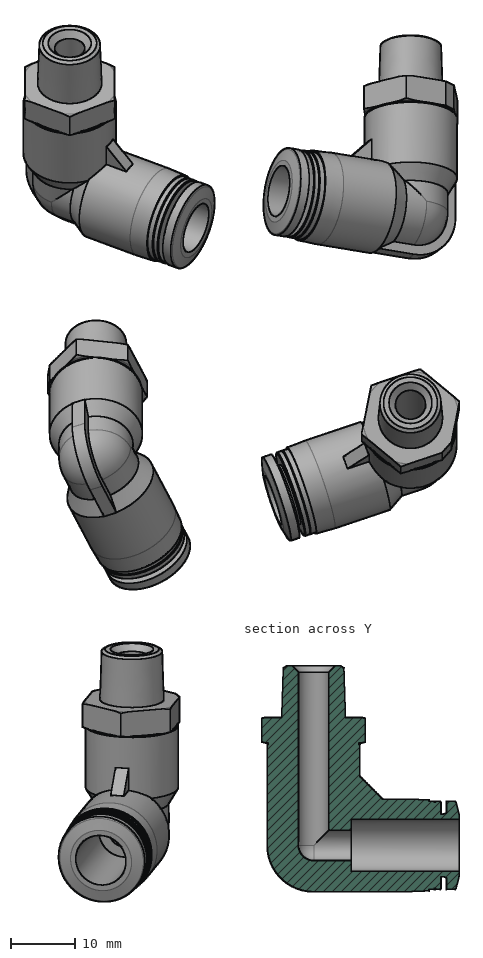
import cadquery as cq
import math


body_radius = 14.5 / 2
elbow_radius = 5.78
stem_cone_start = 3.2
stem_cone_end = 5.7
socket_cone_start = 3.42
socket_cone_end = 5.9

overall_height = 35.25
stem_top = overall_height - body_radius
body_top = 15.72
collar_radius = 7.1
nut_bottom = 15.95
nut_height = 4.02
nut_top = nut_bottom + nut_height
nut_flats = 14.0
nut_corners = nut_flats / math.cos(math.pi / 6)
nut_face_radius = 7.5
nut_bevel_angle = math.radians(15)
cut_corner_distance = 7.45
cut_corner_angle = 120
thread_base_radius = 5.0
thread_top_radius = 4.75
thread_bevel_height = 0.35
thread_bevel_width = 0.55

overall_length = 30.77
ring_end = overall_length - nut_corners / 2
taper_start = 14.98
taper_end = 17.98
taper_end_radius = 7.12
sleeve_radius = 13.8 / 2
sleeve_end = 19.85
sleeve_bevel = 0.15
groove_start = 18.82
groove_width = 0.15
groove_depth = 0.15
neck_radius = 9.8 / 2
neck_flare_start = 20.2
neck_flare_radius = 5.1
ring_start = 20.7
ring_bevel_start = 22.1
ring_shoulder = 22.25
ring_shoulder_radius = 6.65
ring_face_radius = 4.85

web_thickness = 2.08
gusset_reach = 10.75

bore_radius = 4.7 / 2
countersink_radius = 3.35
countersink_depth = countersink_radius - bore_radius
tube_radius = 8.0 / 2
tube_stop = socket_cone_end


def stem_solid(profile):
    """Revolve a list of (radius, height) points about the Z axis."""
    return cq.Workplane("XZ").polyline(profile).close().revolve(360, (0, 0), (0, 1))


def socket_solid(profile):
    """Revolve a list of (distance, radius) points about the X axis."""
    return cq.Workplane("XZ").polyline(profile).close().revolve(360, (0, 0), (1, 0))


def make_stem():
    return stem_solid([
        (0, 0),
        (elbow_radius, 0),
        (elbow_radius, stem_cone_start),
        (body_radius, stem_cone_end),
        (body_radius, body_top),
        (collar_radius, body_top),
        (collar_radius, nut_bottom),
        (thread_base_radius, nut_bottom),
        (thread_base_radius, nut_top),
        (thread_top_radius, stem_top - thread_bevel_height),
        (thread_top_radius - thread_bevel_width, stem_top),
        (0, stem_top),
    ])


def make_nut():
    """Hexagon with corners on the X axis, bevelled on both faces and with one corner cut flat."""
    hexagon = cq.Workplane("XY").workplane(offset=nut_bottom).polygon(6, nut_corners).extrude(nut_height)
    corner_radius = nut_corners / 2
    bevel_height = (corner_radius - nut_face_radius) * math.tan(nut_bevel_angle)
    envelope = stem_solid([
        (0, nut_bottom),
        (nut_face_radius, nut_bottom),
        (corner_radius, nut_bottom + bevel_height),
        (corner_radius, nut_top - bevel_height),
        (nut_face_radius, nut_top),
        (0, nut_top),
    ])
    corner_cutter = (
        cq.Workplane("XY")
        .box(nut_corners, nut_corners, nut_height, centered=(False, True, False))
        .translate((cut_corner_distance, 0, nut_bottom))
        .rotate((0, 0, 0), (0, 0, 1), cut_corner_angle)
    )
    return hexagon.intersect(envelope).cut(corner_cutter)


def make_socket():
    groove_end = groove_start + groove_width
    groove_radius = sleeve_radius - groove_depth
    return socket_solid([
        (0, 0),
        (0, elbow_radius),
        (socket_cone_start, elbow_radius),
        (socket_cone_end, body_radius),
        (taper_start, body_radius),
        (taper_end, taper_end_radius),
        (taper_end, sleeve_radius),
        (groove_start, sleeve_radius),
        (groove_start, groove_radius),
        (groove_end, groove_radius),
        (groove_end, sleeve_radius),
        (sleeve_end - sleeve_bevel, sleeve_radius),
        (sleeve_end, sleeve_radius - sleeve_bevel),
        (sleeve_end, neck_radius),
        (neck_flare_start, neck_radius),
        (ring_start, neck_flare_radius),
        (ring_start, sleeve_radius),
        (ring_bevel_start, sleeve_radius),
        (ring_shoulder, ring_shoulder_radius),
        (ring_end, ring_face_radius),
        (ring_end, 0),
    ])


def make_web():
    """Rounded plate around the outside of the bend, with a sloped gusset on the inside."""
    arc_middle = -body_radius * math.sqrt(0.5)
    return (
        cq.Workplane("XZ")
        .moveTo(-body_radius, stem_cone_end)
        .lineTo(-body_radius, 0)
        .threePointArc((arc_middle, arc_middle), (0, -body_radius))
        .lineTo(socket_cone_end, -body_radius)
        .lineTo(gusset_reach, 0)
        .lineTo(gusset_reach, body_radius)
        .lineTo(body_radius, gusset_reach)
        .lineTo(0, gusset_reach)
        .close()
        .extrude(web_thickness / 2, both=True)
    )


def make_passage():
    """Countersunk bore down the stem, a round bend, and a wider tube bore in the socket."""
    stem_bore = stem_solid([
        (0, 0),
        (bore_radius, 0),
        (bore_radius, stem_top - countersink_depth),
        (countersink_radius, stem_top),
        (0, stem_top),
    ])
    socket_bore = socket_solid([
        (0, 0),
        (0, bore_radius),
        (tube_stop, bore_radius),
        (tube_stop, tube_radius),
        (ring_end, tube_radius),
        (ring_end, 0),
    ])
    bend = cq.Workplane("XY").sphere(bore_radius)
    return stem_bore.union(socket_bore).union(bend)


elbow = cq.Workplane("XY").sphere(elbow_radius)
outside = make_stem().union(make_socket()).union(elbow).union(make_nut()).union(make_web())
result = outside.cut(make_passage())